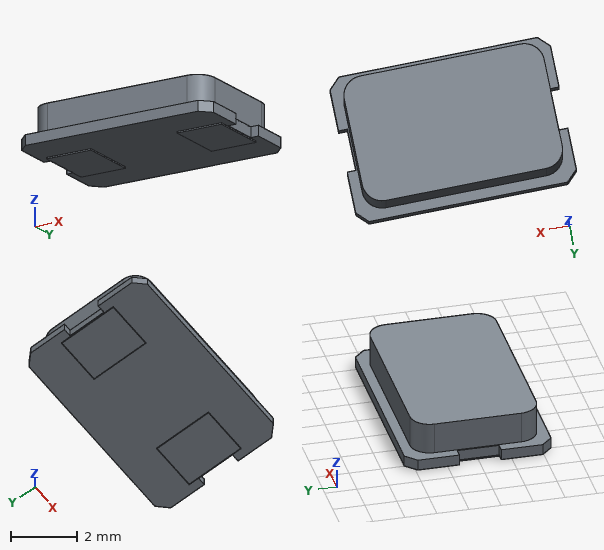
import cadquery as cq

base_length = 6.82
base_width = 4.58
base_height = 0.35
corner_chamfer = 0.34
notch_depth = 0.27
notch_width = 1.3

lid_length = 6.18
lid_width = 3.94
lid_radius = 0.615
total_height = 1.4

pad_length = 1.58
pad_width = 2.0
pad_thickness = 0.05
pad_end_inset = 0.3

lid_height = total_height - base_height - pad_thickness
pad_offset = base_length / 2 - pad_end_inset - pad_length / 2


def make_base():
    """Rectangular plate with chamfered corners and a notch in each end."""
    plate = cq.Workplane("XY").box(
        base_length, base_width, base_height, centered=(True, True, False)
    )
    plate = plate.edges("|Z").chamfer(corner_chamfer)
    notches = (
        cq.Workplane("XY")
        .pushPoints([(-base_length / 2, 0), (base_length / 2, 0)])
        .rect(2 * notch_depth, notch_width)
        .extrude(base_height)
    )
    return plate.cut(notches)


def make_lid():
    """Solid lid with rounded vertical corners, resting on the base."""
    return (
        cq.Workplane("XY", origin=(0, 0, base_height))
        .rect(lid_length, lid_width)
        .extrude(lid_height)
        .edges("|Z")
        .fillet(lid_radius)
    )


def make_pad(x_center):
    """Thin contact pad under the base, centred across its width."""
    return (
        cq.Workplane("XY")
        .center(x_center, 0)
        .rect(pad_length, pad_width)
        .extrude(-pad_thickness)
    )


base = make_base()
lid = make_lid()
pads = [make_pad(side * pad_offset) for side in (-1, 1)]

result = cq.Compound.makeCompound(
    [base.val(), lid.val(), *[pad.val() for pad in pads]]
)